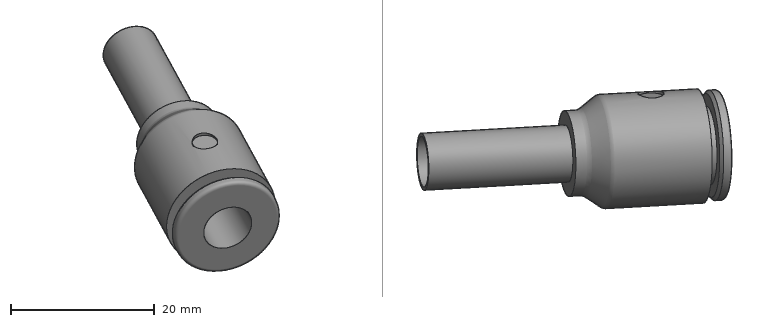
import cadquery as cq

total_length = 42.5
tube_start = -total_length / 2
tube_length = 20.53
collar_length = 2.0
shoulder_length = 2.85
body_length = 14.15
neck_length = 1.25

collar_start = tube_start + tube_length
collar_end = collar_start + collar_length
body_start = collar_end + shoulder_length
body_end = body_start + body_length
flange_start = body_end + neck_length
flange_end = total_length / 2

bore_radius = 3.53
tube_radius = 4.0
collar_radius = 6.0
body_radius = 8.0
neck_radius = 5.5
flange_radius = 7.75

shoulder_inner_blend = 1.1
shoulder_outer_blend = 0.9
flange_chamfer = 0.45
flange_round = 0.5

recess_x = 11.3
recess_radius = 1.8
recess_depth = 0.42


def cylinder(start, end, radius):
    """Cylinder along X between two stations."""
    return cq.Workplane("YZ").workplane(offset=start).circle(radius).extrude(end - start)


def round_rim(solid, station, radius, blend):
    """Fillet the circular edge of the given radius at one station."""
    margin = 0.05
    rim = cq.selectors.BoxSelector(
        (station - margin, -radius - margin, -radius - margin),
        (station + margin, radius + margin, radius + margin),
        boundingbox=True,
    )
    return solid.edges(rim).fillet(blend)


def make_body():
    """Collar and body joined by a conical shoulder with blended ends."""
    profile = (
        cq.Workplane("XZ")
        .moveTo(collar_start, 0)
        .lineTo(collar_start, collar_radius)
        .lineTo(collar_end, collar_radius)
        .lineTo(body_start, body_radius)
        .lineTo(body_end, body_radius)
        .lineTo(body_end, 0)
        .close()
    )
    body = profile.revolve(360, (0, 0, 0), (1, 0, 0))
    body = round_rim(body, collar_end, collar_radius, shoulder_inner_blend)
    return round_rim(body, body_start, body_radius, shoulder_outer_blend)


def make_flange():
    """Release flange with a chamfered inner rim and a rounded outer rim."""
    flange = cylinder(flange_start, flange_end, flange_radius)
    return flange.faces("<X").edges().chamfer(flange_chamfer).faces(">X").edges().fillet(flange_round)


tube = cylinder(tube_start, collar_start, tube_radius)
neck = cylinder(body_end, flange_start, neck_radius)
bore = cylinder(tube_start, flange_end, bore_radius)
recess = (
    cq.Workplane("XY")
    .workplane(offset=body_radius - recess_depth)
    .center(recess_x, 0)
    .circle(recess_radius)
    .extrude(2 * recess_depth)
)

result = tube.union(make_body()).union(neck).union(make_flange()).cut(bore).cut(recess)